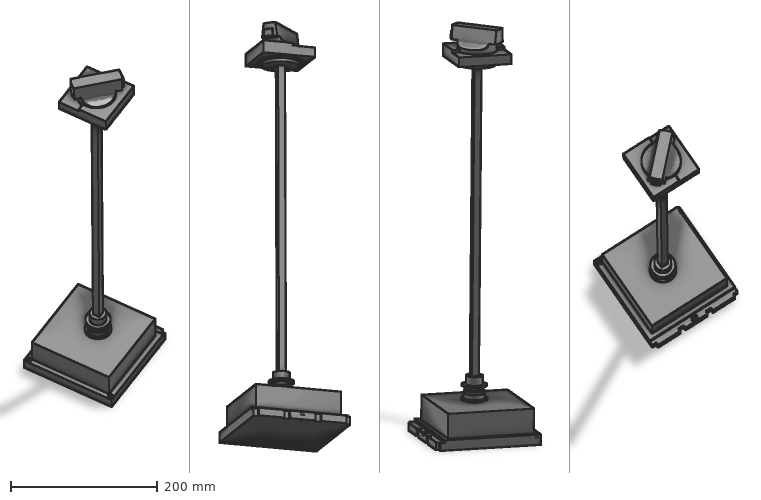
import cadquery as cq

lean_angle = 0.5

base_width = 139.7
base_depth = 148.1
flange_height = 14.5
strip_depth = 10.5
strip_height = 10.8
box_size = 123.0
box_top = 49.5
box_center_y = 69.1

tab_width = 36.6
tab_pitch = 45.0
notch_depth = 4.3

screw_hole_diameter = 4.0
corner_bore_diameter = 7.0
rear_bore_diameter = 8.7
bore_depth = 4.0
corner_hole_x = 65.0
corner_hole_y = 5.3
rear_hole_y = 143.0

axis_x = 5.0
axis_y = 72.7

lower_coupling_steps = [(11.3, 52.3), (18.2, 53.9), (14.7, 60.9), (14.0, 64.7), (9.5, 66.3)]
upper_coupling_steps = [(8.5, 71.6), (17.3, 73.3), (11.6, 85.4)]

shaft_size = 10.1

plate_size = 74.8
plate_bottom = 527.8
plate_low_top = 541.3
plate_high_top = 544.9
plate_step_x = -0.5
rim_radius = 30.3
rim_bottom = 526.0
disc_radius = 25.1
disc_bottom = 521.0

knob_base_radius = 27.0
grip_angle = 45.0
grip_end_radius = 35.3
grip_bottom = 555.0
grip_top = 574.5
grip_top_half_width = 8.9
flank_edge_height = 547.2
flank_middle_half_width = 15.1
flank_middle_height = 550.4
flank_slope_at_top = 5.5

pointer_width = 12.2
pointer_radius = 38.2
pointer_top = 565.0


def stepped_cylinder(steps, bottom):
    """Stack of coaxial cylinders on the common axis."""
    body = None
    for radius, top in steps:
        layer = cq.Workplane("XY", origin=(axis_x, axis_y, bottom)).circle(radius).extrude(top - bottom)
        body = layer if body is None else body.union(layer)
        bottom = top
    return body


def block(width, depth, bottom, top, center_x, center_y):
    """Upright rectangular block between two levels."""
    plane = cq.Workplane("XY", origin=(center_x, center_y, bottom))
    return plane.rect(width, depth).extrude(top - bottom)


def make_base():
    flange_depth = base_depth - strip_depth
    body = block(base_width, flange_depth, 0, flange_height, 0, flange_depth / 2)
    body = body.union(block(base_width, base_depth, 0, strip_height, 0, base_depth / 2))
    body = body.union(block(box_size, box_size, 0, box_top, 0, box_center_y))

    notch_center_y = base_depth - notch_depth / 2
    gap_width = tab_pitch - tab_width
    for gap_x in (-tab_pitch / 2, tab_pitch / 2):
        body = body.cut(block(gap_width, notch_depth, 0, strip_height, gap_x, notch_center_y))
    corner_width = base_width / 2 - tab_pitch - tab_width / 2
    corner_x = (base_width - corner_width) / 2
    for side in (-1, 1):
        body = body.cut(block(corner_width, notch_depth, 0, strip_height, side * corner_x, notch_center_y))

    corner_holes = [(-corner_hole_x, corner_hole_y), (corner_hole_x, corner_hole_y)]
    body = (
        body.copyWorkplane(cq.Workplane("XY", origin=(0, 0, flange_height)))
        .pushPoints(corner_holes)
        .cboreHole(screw_hole_diameter, corner_bore_diameter, bore_depth)
    )
    return (
        body.copyWorkplane(cq.Workplane("XY", origin=(0, 0, strip_height)))
        .pushPoints([(0, rear_hole_y)])
        .cboreHole(screw_hole_diameter, rear_bore_diameter, bore_depth)
    )


def make_shaft(bottom):
    return block(shaft_size, shaft_size, bottom, disc_bottom, axis_x, axis_y)


def make_plate():
    body = stepped_cylinder([(disc_radius, rim_bottom), (rim_radius, plate_bottom)], disc_bottom)
    body = body.union(block(plate_size, plate_size, plate_bottom, plate_low_top, axis_x, axis_y))
    right_edge = axis_x + plate_size / 2
    raised_width = right_edge - plate_step_x
    raised_center_x = (right_edge + plate_step_x) / 2
    raised = block(raised_width, plate_size, plate_low_top, plate_high_top, raised_center_x, axis_y)
    recess = stepped_cylinder([(knob_base_radius, plate_high_top)], plate_low_top)
    return body.union(raised.cut(recess))


def flank_curve(side):
    """Hollow flank from the rim of the round base up to the grip's top, on one side of the grip."""
    rim = (side * knob_base_radius, flank_edge_height)
    middle = (side * flank_middle_half_width, flank_middle_height)
    top = (side * grip_top_half_width, grip_top)
    tangents = [(-side, 0), (-side, flank_slope_at_top)]
    return cq.Edge.makeSpline(
        [cq.Vector(0, *point) for point in (rim, middle, top)],
        tangents=[cq.Vector(0, *tangent) for tangent in tangents],
    )


def segment(start, end):
    return cq.Edge.makeLine(cq.Vector(0, *start), cq.Vector(0, *end))


def make_knob():
    outline = [
        segment((-knob_base_radius, plate_low_top), (knob_base_radius, plate_low_top)),
        segment((knob_base_radius, plate_low_top), (knob_base_radius, flank_edge_height)),
        flank_curve(1),
        segment((grip_top_half_width, grip_top), (-grip_top_half_width, grip_top)),
        flank_curve(-1),
        segment((-knob_base_radius, flank_edge_height), (-knob_base_radius, plate_low_top)),
    ]
    wire = cq.Wire.assembleEdges(outline)
    half_length = cq.Vector(grip_end_radius, 0, 0)
    prism = cq.Solid.extrudeLinear(wire, [], half_length * 2).translate(half_length * -1)
    section = cq.Workplane("XY").newObject([prism])

    full_height = grip_top - plate_low_top
    round_base = cq.Workplane("XY", origin=(0, 0, plate_low_top)).circle(knob_base_radius).extrude(full_height)
    grip_plane = cq.Workplane("XY", origin=(0, 0, grip_bottom))
    grip = grip_plane.circle(grip_end_radius).extrude(grip_top - grip_bottom)
    knob = section.intersect(round_base.union(grip))

    pointer = block(pointer_radius, pointer_width, grip_bottom, pointer_top, pointer_radius / 2, 0)
    pointer_end = grip_plane.circle(pointer_radius).extrude(pointer_top - grip_bottom)
    knob = knob.union(pointer.intersect(pointer_end))
    return knob.rotate((0, 0, 0), (0, 0, 1), grip_angle).translate((axis_x, axis_y, 0))


def leaned(body):
    return body.rotate((0, 0, 0), (1, 0, 0), lean_angle).val()


base = make_base()
lower_coupling = stepped_cylinder(lower_coupling_steps, box_top)
upper_coupling = stepped_cylinder(upper_coupling_steps, lower_coupling_steps[-1][1])
shaft = make_shaft(upper_coupling_steps[-1][1])
plate = make_plate()
knob = make_knob()

bodies = [base, lower_coupling, upper_coupling, shaft, plate, knob]
result = cq.Compound.makeCompound([leaned(body) for body in bodies])